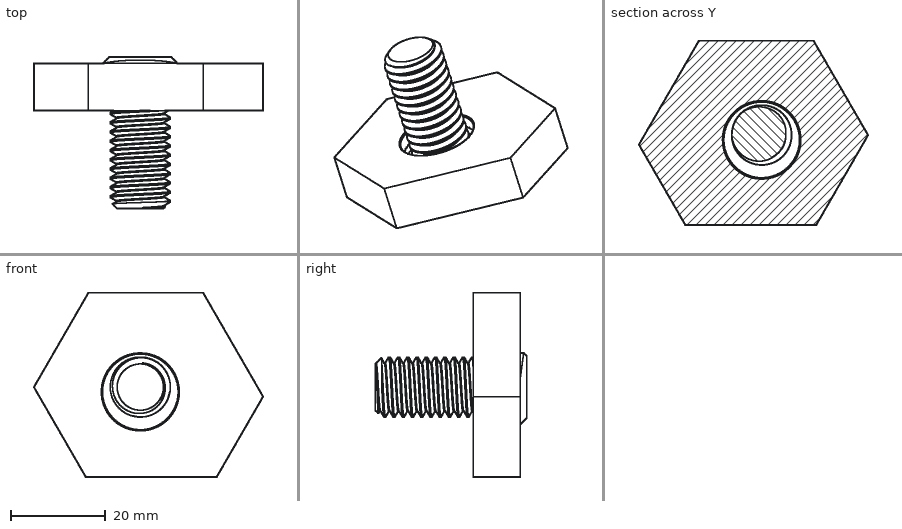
import cadquery as cq
import math


PLATE_WIDTH = 48.5
PLATE_THICKNESS = 10.0
FLAT_COUNT = 6
NEAREST_FLAT_STEPS = 18
FLAT_TURN = math.radians(360 / FLAT_COUNT)
WIDTH_STEPS = sum(NEAREST_FLAT_STEPS + flat for flat in (1, 2, 4, 5))
FLAT_STEP = PLATE_WIDTH * math.sin(FLAT_TURN) * 2 / WIDTH_STEPS
NEAREST_FLAT = NEAREST_FLAT_STEPS * FLAT_STEP
NEAREST_FLAT_ANGLE = math.radians(-90)

ECCENTRICITY = 1.0
LIP_RADIUS = 8.0
LIP_DEPTH = 2.9
LIP_CHAMFER = 0.25
HEAD_RADIUS = 8.25

HEAD_FRONT = 4.55
HEAD_OVERHANG = 1.35
HEAD_BACK = PLATE_THICKNESS + HEAD_OVERHANG
HEAD_LENGTH = HEAD_BACK - HEAD_FRONT
HEAD_END_RADIUS = 6.55

SHANK_REACH = 20.75
SHANK_RADIUS = 6.35
TIP_CHAMFER = 1.45
THREAD_COUNT = 13
GAUGE_LENGTH = 25.4
PITCH = GAUGE_LENGTH / THREAD_COUNT
THREAD_DEPTH = 1.2
ROOT_FLAT = PITCH / 8
FLANK_ANGLE = math.radians(30)
GROOVE_PHASE = 0.65
CUT_MARGIN = 0.1


def at_depth(depth):
    """Workplane square to the stud axis, facing -Y, at a depth behind the plate face."""
    return cq.Workplane("XZ", origin=(0, depth, 0))


def bore_cylinder(radius, rear_depth, length):
    """Cylinder on the bore axis, running forward from its rear end."""
    return at_depth(rear_depth).center(0, -ECCENTRICITY).circle(radius).extrude(length)


def flat_corner(index):
    """Corner where one flat meets the next one clockwise, seen from -Y."""
    distance = NEAREST_FLAT + index * FLAT_STEP
    next_distance = NEAREST_FLAT + (index + 1) % FLAT_COUNT * FLAT_STEP
    angle = NEAREST_FLAT_ANGLE - index * FLAT_TURN
    along = (next_distance - distance * math.cos(FLAT_TURN)) / math.sin(FLAT_TURN)
    x = distance * math.cos(angle) + along * math.sin(angle)
    z = distance * math.sin(angle) - along * math.cos(angle)
    return x, z - ECCENTRICITY


def make_plate():
    """Hexagonal plate with the chamfered, stepped bore for the head."""
    corners = [flat_corner(index) for index in range(FLAT_COUNT)]
    blank = at_depth(PLATE_THICKNESS).polyline(corners).close().extrude(PLATE_THICKNESS)
    lip_bore = bore_cylinder(LIP_RADIUS, PLATE_THICKNESS, PLATE_THICKNESS)
    head_bore = bore_cylinder(HEAD_RADIUS, PLATE_THICKNESS, PLATE_THICKNESS - LIP_DEPTH)
    bored = blank.cut(lip_bore)
    chamfered = bored.faces("<Y").edges("%CIRCLE").chamfer(LIP_CHAMFER)
    return chamfered.cut(head_bore)


def make_head():
    """Eccentric disc whose rear edge is bevelled at 45 degrees around the stud axis."""
    disc = bore_cylinder(HEAD_RADIUS, HEAD_BACK, HEAD_LENGTH)
    bevel = cq.Solid.makeCone(
        HEAD_END_RADIUS,
        HEAD_END_RADIUS + HEAD_LENGTH,
        HEAD_LENGTH,
        cq.Vector(0, HEAD_BACK, 0),
        cq.Vector(0, -1, 0),
    )
    return disc.intersect(cq.Workplane(obj=bevel))


def make_groove_turn(depth):
    """One right-handed turn of the V groove, starting on the +X side at a depth behind the plate face."""
    root_radius = SHANK_RADIUS - THREAD_DEPTH
    outer_radius = SHANK_RADIUS + CUT_MARGIN
    root_half = ROOT_FLAT / 2
    outer_half = root_half + (outer_radius - root_radius) * math.tan(FLANK_ANGLE)
    path = cq.Wire.makeHelix(PITCH, PITCH, root_radius, cq.Vector(0, depth, 0), cq.Vector(0, -1, 0))
    profile = cq.Workplane("XY", origin=(0, depth, 0)).polyline(
        [
            (root_radius, -root_half),
            (outer_radius, -outer_half),
            (outer_radius, outer_half),
            (root_radius, root_half),
        ]
    )
    return profile.close().sweep(cq.Workplane(obj=path), isFrenet=True)


def make_shank():
    """Chamfered rod, threaded turn by turn from inside the bore to past its tip."""
    rod = at_depth(HEAD_FRONT).circle(SHANK_RADIUS).extrude(HEAD_FRONT + SHANK_REACH)
    shank = rod.faces("<Y").chamfer(TIP_CHAMFER)
    turns_in_bore = math.ceil(HEAD_FRONT / PITCH) + 1
    turns_in_front = math.ceil(SHANK_REACH / PITCH)
    for turn in range(-turns_in_bore, turns_in_front):
        shank = shank.cut(make_groove_turn(-GROOVE_PHASE - turn * PITCH))
    return shank


def make_stud():
    """Threaded shank and eccentric head in one piece."""
    return make_shank().union(make_head())


plate = make_plate()
stud = make_stud()
result = cq.Compound.makeCompound([*plate.solids().vals(), *stud.solids().vals()])